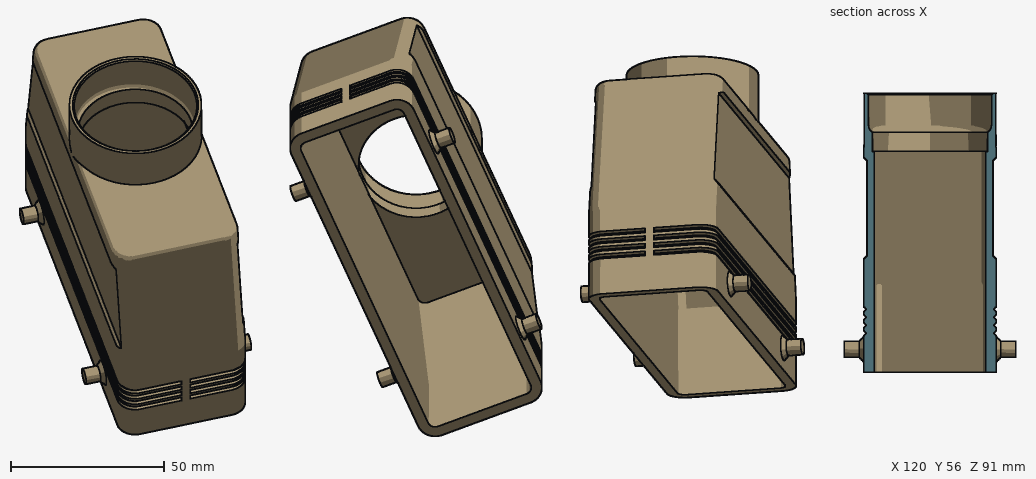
import cadquery as cq
import math

LENGTH = 120.0
WIDTH = 43.2
BODY_HEIGHT = 76.0
BEND_HEIGHT = 29.3
TOP_LENGTH = 101.0
CORNER_RADIUS = 6.0
BEND_RADIUS = 5.0
BEND_SEARCH = 1.0
TOP_RADIUS = 2.5

WALL = 3.5
ROOF_THICKNESS = 4.0
END_LEAN = math.atan((LENGTH - TOP_LENGTH) / 2 / (BODY_HEIGHT - BEND_HEIGHT))

TOTAL_HEIGHT = 91.0
COLLAR_DIAMETER = 43.1
BORE_DIAMETER = 40.0
BORE_DEPTH = 10.5
BORE_CHAMFER = 0.5
HOLE_DIAMETER = 37.5
SEAT_RADIUS = 2.5

PANEL_DEPTH = 1.0
PANEL_BOTTOM = 37.0
PANEL_TOP = 70.0

GROOVE_COUNT = 4
GROOVE_PITCH = 2.6
GROOVE_DEPTH = 0.75
FIRST_GROOVE_HEIGHT = 12.75
GROOVE_ANGLE = 45.0
BRIDGE_WIDTH = 3.0

PEG_SPACING = 74.0
PEG_SPAN = 56.0
PEG_HEIGHT = 7.5
PEG_DIAMETER = 5.3
PEG_FLARE = 1.5


def hood_block(bottom_length, top_length, width, bend_height, height, corner_radius):
    """Block with vertical lower ends, leaning upper ends and rounded corners."""
    outline = [
        (-bottom_length / 2, 0),
        (bottom_length / 2, 0),
        (bottom_length / 2, bend_height),
        (top_length / 2, height),
        (-top_length / 2, height),
        (-bottom_length / 2, bend_height),
    ]
    block = cq.Workplane("XZ").polyline(outline).close().extrude(width / 2, both=True)
    bend_edges = cq.selectors.BoxSelector(
        (-bottom_length, -width, bend_height - BEND_SEARCH),
        (bottom_length, width, bend_height + BEND_SEARCH),
    )
    block = block.edges("|Y").edges(bend_edges).fillet(BEND_RADIUS)
    corner_edges = block.faces("<Y or >Y").edges("not(|X)")
    return corner_edges.fillet(corner_radius)


def make_body():
    body = hood_block(LENGTH, TOP_LENGTH, WIDTH, BEND_HEIGHT, BODY_HEIGHT, CORNER_RADIUS)
    return body.faces(">Z").edges().fillet(TOP_RADIUS)


def make_cavity():
    """Hollow that keeps a constant wall along the sides and the leaning ends."""
    height = BODY_HEIGHT - ROOF_THICKNESS
    bend_height = BEND_HEIGHT - WALL * math.tan(END_LEAN / 2)
    length = LENGTH - 2 * WALL
    top_length = length - 2 * (height - bend_height) * math.tan(END_LEAN)
    return hood_block(length, top_length, WIDTH - 2 * WALL, bend_height, height, CORNER_RADIUS - WALL)


def make_collar():
    base = BODY_HEIGHT - TOP_RADIUS
    collar = cq.Workplane("XY").workplane(offset=base).circle(COLLAR_DIAMETER / 2)
    return collar.extrude(TOTAL_HEIGHT - base)


def make_entry_bore():
    """Turned opening: chamfered bore, concave seat and through hole into the cavity."""
    bore_radius = BORE_DIAMETER / 2
    hole_radius = HOLE_DIAMETER / 2
    seat_top = TOTAL_HEIGHT - BORE_DEPTH
    hole_bottom = BODY_HEIGHT - ROOF_THICKNESS
    seat_inset = SEAT_RADIUS - (bore_radius - hole_radius)
    seat_angle = math.acos(seat_inset / SEAT_RADIUS)

    def seat_point(angle):
        radius = bore_radius - SEAT_RADIUS * (1 - math.cos(angle))
        return (radius, seat_top - SEAT_RADIUS * math.sin(angle))

    profile = (
        cq.Workplane("XZ")
        .moveTo(0, hole_bottom)
        .lineTo(hole_radius, hole_bottom)
        .lineTo(*seat_point(seat_angle))
        .threePointArc(seat_point(seat_angle / 2), seat_point(0))
        .lineTo(bore_radius, TOTAL_HEIGHT - BORE_CHAMFER)
        .lineTo(bore_radius + BORE_CHAMFER, TOTAL_HEIGHT)
        .lineTo(0, TOTAL_HEIGHT)
        .close()
    )
    return profile.revolve(360, (0, 0), (0, 1))


def make_panel(side):
    """Full-length cutter with 45 degree top and bottom flanks, on the +Y or -Y side."""
    wall = side * WIDTH / 2
    floor = side * (WIDTH / 2 - PANEL_DEPTH)
    profile = [
        (wall, PANEL_BOTTOM),
        (floor, PANEL_BOTTOM + PANEL_DEPTH),
        (floor, PANEL_TOP - PANEL_DEPTH),
        (wall, PANEL_TOP),
    ]
    return cq.Workplane("YZ").polyline(profile).close().extrude(LENGTH / 2, both=True)


def make_groove(height):
    """V-section ring around the skirt, interrupted by the bridge on each end."""
    section = cq.Sketch().rect(LENGTH, WIDTH).vertices().fillet(CORNER_RADIUS)
    middle = cq.Workplane("XY").workplane(offset=height)
    slab = middle.placeSketch(section).extrude(GROOVE_DEPTH, both=True)
    lower = cq.Workplane("XY").workplane(offset=height - GROOVE_DEPTH).placeSketch(section)
    lower_core = lower.extrude(GROOVE_DEPTH, taper=GROOVE_ANGLE)
    upper_core = lower_core.mirror("XY", (0, 0, height))
    bridge = middle.rect(LENGTH, BRIDGE_WIDTH).extrude(GROOVE_DEPTH, both=True)
    return slab.cut(lower_core).cut(upper_core).cut(bridge)


def make_peg(x, side):
    """Round peg with a flared foot, rooted halfway into the wall."""
    radius = PEG_DIAMETER / 2
    root = WIDTH / 2 - WALL / 2
    profile = [
        (0, root),
        (radius + PEG_FLARE, root),
        (radius + PEG_FLARE, WIDTH / 2),
        (radius, WIDTH / 2 + PEG_FLARE),
        (radius, PEG_SPAN / 2),
        (0, PEG_SPAN / 2),
    ]
    peg = cq.Workplane("XY").polyline(profile).close().revolve(360, (0, 0), (0, 1))
    if side < 0:
        peg = peg.mirror("XZ")
    return peg.translate((x, 0, PEG_HEIGHT))


result = make_body()
for side in (-1, 1):
    result = result.cut(make_panel(side))
for index in range(GROOVE_COUNT):
    result = result.cut(make_groove(FIRST_GROOVE_HEIGHT + index * GROOVE_PITCH))
for x in (-PEG_SPACING / 2, PEG_SPACING / 2):
    for side in (-1, 1):
        result = result.union(make_peg(x, side))
result = result.union(make_collar()).cut(make_cavity()).cut(make_entry_bore())